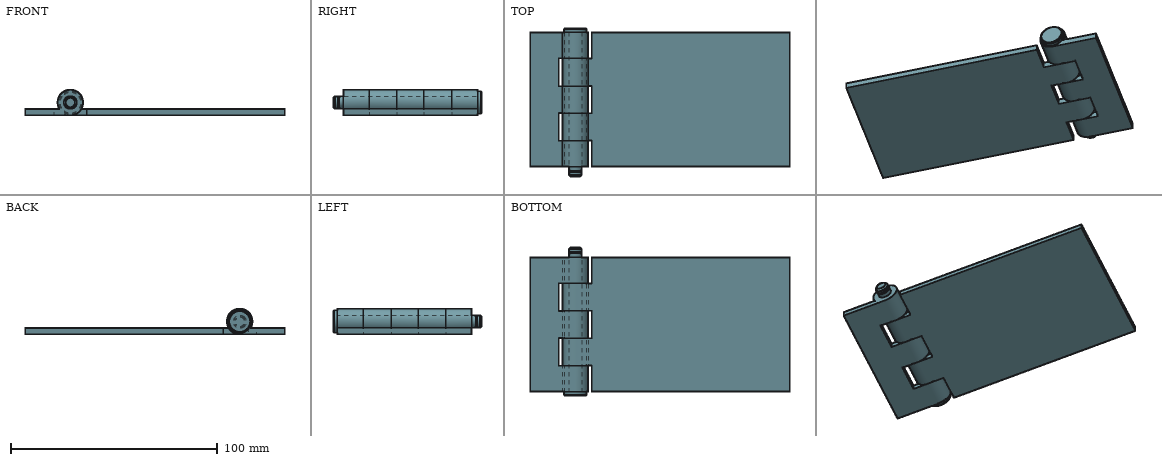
import cadquery as cq

overall_width = 126.0
hinge_length = 65.0
leaf_thickness = 3.2
left_leaf_reach = 21.9
right_leaf_reach = overall_width - left_leaf_reach

knuckle_diameter = 12.5
knuckle_radius = knuckle_diameter / 2
axis_height = knuckle_radius
end_knuckle_length = 12.6
middle_knuckle_length = 13.1
right_knuckle_length = (hinge_length - 2 * end_knuckle_length - middle_knuckle_length) / 2
notch_reach = 8.0

pin_diameter = 6.3
pin_radius = pin_diameter / 2
head_diameter = 11.1
head_length = 2.0
head_chamfer = 0.5
tail_length = 4.9
groove_start = 2.0
groove_width = 0.8
groove_radius = 2.5
tip_chamfer = 0.9

knuckle_lengths = [
    end_knuckle_length,
    right_knuckle_length,
    middle_knuckle_length,
    right_knuckle_length,
    end_knuckle_length,
]
knuckle_spans = [(sum(knuckle_lengths[:i]), length) for i, length in enumerate(knuckle_lengths)]
left_spans = knuckle_spans[0::2]
right_spans = knuckle_spans[1::2]


def y_cylinder(radius, start, length):
    """Cylinder on the pin axis, extending in +Y from start."""
    return (
        cq.Workplane("XZ", origin=(0, start, axis_height))
        .circle(radius)
        .extrude(-length)
    )


def plate(x_one, x_two, start, length):
    """Flat leaf stock between two X positions, extending in +Y from start."""
    return (
        cq.Workplane("XY", origin=(min(x_one, x_two), start, 0))
        .box(abs(x_two - x_one), length, leaf_thickness, centered=False)
    )


def make_leaf(side, reach, spans):
    """Leaf with knuckles on the given spans; side is -1 for left and +1 for right."""
    leaf = plate(side * notch_reach, side * reach, 0, hinge_length)
    for start, length in spans:
        tab = plate(0, side * notch_reach, start, length)
        leaf = leaf.union(tab).union(y_cylinder(knuckle_radius, start, length))
    return leaf.cut(y_cylinder(pin_radius, 0, hinge_length))


def make_pin():
    """Pin with a chamfered head and a grooved, chamfered tail."""
    shank = y_cylinder(pin_radius, -tail_length, tail_length + hinge_length)
    shank = shank.faces("<Y").chamfer(tip_chamfer)
    head = y_cylinder(head_diameter / 2, hinge_length, head_length).faces(">Y").chamfer(head_chamfer)
    groove_y = -groove_start - groove_width
    groove = y_cylinder(pin_radius, groove_y, groove_width).cut(
        y_cylinder(groove_radius, groove_y, groove_width)
    )
    return shank.union(head).cut(groove)


left_leaf = make_leaf(-1, left_leaf_reach, left_spans)
right_leaf = make_leaf(1, right_leaf_reach, right_spans)
pin = make_pin()

bodies = [left_leaf, right_leaf, pin]
result = cq.Compound.makeCompound([body.solids().val() for body in bodies])